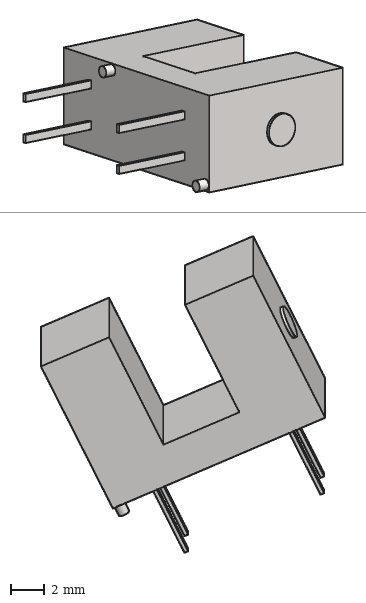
import cadquery as cq

total_width = 14.4
total_length = 15.2
body_height = 6.0

lens_thickness = 0.2
body_width = total_width - 2 * lens_thickness
lead_length = 5.0
body_length = total_length - lead_length
slot_width = 5.0
slot_depth = 7.7

lens_diameter = 2.0
lens_from_arm_tip = 4.8

lead_width = 0.25
lead_height = 0.5
lead_pitch_x = 8.97
lead_pitch_z = 2.54

peg_diameter = 0.7
peg_length = 0.7
peg_edge_gap = 0.06
peg_pitch_x = 8.97
peg_z = body_height / 2 - peg_edge_gap - peg_diameter / 2
right_peg_x = body_width / 2 - peg_edge_gap - peg_diameter / 2
peg_positions = [(right_peg_x - peg_pitch_x, peg_z), (right_peg_x, -peg_z)]


def make_body():
    block = cq.Workplane("XY").box(body_width, body_length, body_height, centered=(True, False, True))
    slot = (
        cq.Workplane("XY")
        .box(slot_width, slot_depth, body_height, centered=(True, False, True))
        .translate((0, body_length - slot_depth, 0))
    )
    return block.cut(slot)


def make_lens(side):
    """Disc on the outer face of one arm; side is -1 or +1 along X."""
    return (
        cq.Workplane("YZ", origin=(side * body_width / 2, body_length - lens_from_arm_tip, 0))
        .circle(lens_diameter / 2)
        .extrude(side * lens_thickness)
    )


def make_leads():
    return (
        cq.Workplane("XZ")
        .rarray(lead_pitch_x, lead_pitch_z, 2, 2)
        .rect(lead_width, lead_height)
        .extrude(lead_length)
    )


def make_pegs():
    return cq.Workplane("XZ").pushPoints(peg_positions).circle(peg_diameter / 2).extrude(peg_length)


result = make_body().union(make_leads()).union(make_pegs())
for side in (-1, 1):
    result = result.union(make_lens(side))